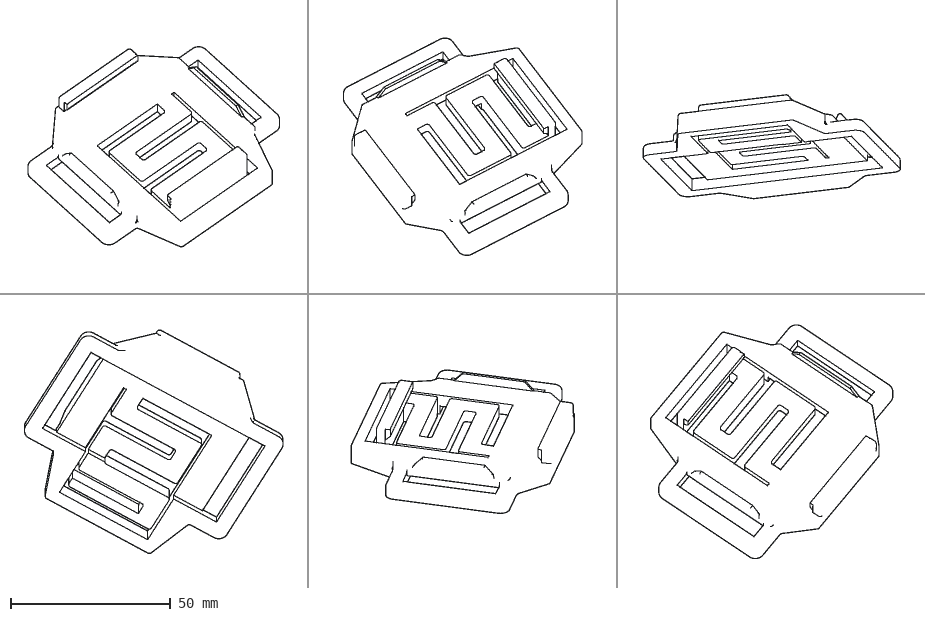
import cadquery as cq
import math

body_length = 63.64
body_top = 7.0
wall_half_width = 26.5
left_half_width = 15.9
right_slope_angle = 20.0
round_radius = 1.0
small_round = 0.5

loop_center_x = 28.6
loop_length = 40.0
loop_half_span = 36.57
loop_height = 4.0
loop_border = 5.0
loop_corner_radius = 3.0
channel_height = 3.0

tab_thickness = 1.0
tab_top = 10.0
tab_base_half_length = 13.6
tab_top_half_length = 10.0
tab_round = 0.3

opening_start = 20.0
opening_end = 59.7
opening_half_width = 16.0
spring_half_width = 15.0
spring_strip = 6.0
spring_gap = 4.0
spring_corner_radius = 0.8

clip_top = 11.8
clip_thickness = 3.0
clip_half_width = 15.0
clip_round = 1.0
hook_half_width = 14.7
hook_lower_edge = 7.5
left_hook_reach = 1.2
right_hook_reach = 1.6
right_clip_outer = 56.5

loop_left = loop_center_x - loop_length / 2
loop_right = loop_center_x + loop_length / 2
bevel_run = wall_half_width - left_half_width
wall_right = 2 * loop_center_x - bevel_run
loop_joint_y = left_half_width + loop_left
right_slope = math.tan(math.radians(right_slope_angle))
right_half_width = loop_joint_y - (body_length - loop_right) * right_slope


def box(x_min, x_max, y_min, y_max, z_min, z_max):
    size = (x_max - x_min, y_max - y_min, z_max - z_min)
    return cq.Workplane("XY").box(*size, centered=False).translate((x_min, y_min, z_min))


def edges_near(solid, points):
    """Edges of the solid that pass through the given points."""
    found = []
    for point in points:
        vertex = cq.Vertex.makeVertex(*point)
        found.append(min(solid.edges().vals(), key=lambda edge: edge.distance(vertex)))
    return solid.newObject(found)


def on_both_sides(points, z):
    """Points at height z on the +Y side, with their mirror images on the -Y side."""
    return [(x, side * y, z) for x, y in points for side in (1, -1)]


def symmetric_prism(upper_side, height):
    """Prism on Z = 0 whose outline is the given +Y side and its mirror image."""
    lower_side = [(x, -y) for x, y in reversed(upper_side)]
    return cq.Workplane("XY").polyline(upper_side + lower_side).close().extrude(height)


def make_body():
    """Plate with small rounds on the left faces and larger ones on the walls and right faces."""
    left_corner = (0, left_half_width)
    bevel_corner = (bevel_run, wall_half_width)
    right_corners = [
        (wall_right, wall_half_width),
        (loop_right, loop_joint_y),
        (body_length, right_half_width),
    ]
    mid_height = body_top / 2

    past_end = (body_length, left_half_width + body_length)
    left_part = symmetric_prism([left_corner, past_end], body_top)
    left_part = edges_near(left_part, on_both_sides([left_corner], mid_height)).fillet(round_radius)
    left_part = edges_near(left_part, [(0, 0, 0), (0, 0, body_top)]).fillet(small_round)

    before_start = (-bevel_run, wall_half_width)
    right_part = symmetric_prism([before_start] + right_corners, body_top)
    right_part = edges_near(right_part, on_both_sides(right_corners, mid_height)).fillet(round_radius)
    right_part = edges_near(right_part, [(body_length, 0, body_top)]).fillet(round_radius)

    outline = symmetric_prism([left_corner, bevel_corner] + right_corners, body_top)
    outline = edges_near(outline, on_both_sides([bevel_corner], mid_height)).fillet(round_radius)

    return left_part.intersect(right_part).intersect(outline)


def make_gussets(plate):
    """Blends between the right ends of the loop plate and the body's right slopes, one per side."""
    rise = loop_right * right_slope
    slope_line = [(0, loop_joint_y + rise), (body_length, right_half_width)]
    wedge = symmetric_prism(slope_line, body_top - round_radius)
    joint = on_both_sides([(loop_right, loop_joint_y)], loop_height / 2)
    blended = edges_near(plate.union(wedge), joint).fillet(round_radius)

    x_max = loop_right + 2 * round_radius
    y_max = loop_joint_y + 2 * round_radius
    keep = box(loop_right, x_max, right_half_width, y_max, 0, loop_height + round_radius)
    gusset = blended.intersect(keep)
    return [gusset, gusset.mirror("XZ")]


def add_strap_loops(body):
    """Flat plate through the body, blended into it, for the loops past the walls."""
    plate = box(loop_left, loop_right, -loop_half_span, loop_half_span, 0, loop_height)
    plate = plate.edges("|Z").fillet(loop_corner_radius)
    plate = plate.faces(">Z").edges().fillet(round_radius)
    solid = body.union(plate)
    wall_foot = on_both_sides([(loop_center_x, wall_half_width)], loop_height)
    solid = edges_near(solid, wall_foot).fillet(round_radius)
    for side_gusset in make_gussets(plate):
        solid = solid.union(side_gusset)
    return solid


def cut_strap_path(solid):
    """Strap slots outside the walls, joined by a channel across the underside."""
    slot_left = loop_left + loop_border
    slot_right = loop_right - loop_border
    slot_outer = loop_half_span - loop_border
    channel = box(slot_left, slot_right, -slot_outer, slot_outer, 0, channel_height)
    slot = box(slot_left, slot_right, wall_half_width, slot_outer, 0, body_top)
    return solid.cut(channel).cut(slot).cut(slot.mirror("XZ"))


def make_tab():
    """Trapezoid standing on the +Y wall, its outer face flush with the wall."""
    base_z = body_top - round_radius
    profile = [
        (loop_center_x - tab_base_half_length, base_z),
        (loop_center_x - tab_top_half_length, tab_top),
        (loop_center_x + tab_top_half_length, tab_top),
        (loop_center_x + tab_base_half_length, base_z),
    ]
    tab = cq.Workplane("XZ", origin=(0, wall_half_width, 0)).polyline(profile).close()
    tab = tab.extrude(tab_thickness)
    slope_mid_offset = (tab_base_half_length + tab_top_half_length) / 2
    slope_mid_z = (base_z + tab_top) / 2
    outer_edges = [
        (loop_center_x, wall_half_width, tab_top),
        (loop_center_x + slope_mid_offset, wall_half_width, slope_mid_z),
        (loop_center_x - slope_mid_offset, wall_half_width, slope_mid_z),
    ]
    return edges_near(tab, outer_edges).fillet(tab_round)


def make_spring():
    """Serpentine strip that starts at the opening's left edge and ends under the right clip."""
    edge = spring_half_width
    inner = spring_half_width - spring_strip
    pitch = spring_strip + spring_gap
    first = opening_start + spring_gap
    second = first + pitch
    third = second + pitch
    rounded = [
        (first + spring_strip, edge),
        (first + spring_strip, -inner),
        (second, -inner),
        (second, edge),
        (third + spring_strip, edge),
        (third + spring_strip, -inner),
        (third, -edge),
        (third, inner),
        (second + spring_strip, inner),
        (second + spring_strip, -edge),
        (first, -edge),
        (first, inner),
    ]
    clip_end = [(right_clip_outer, -inner), (right_clip_outer, -edge)]
    root = [(opening_start, inner), (opening_start, edge)]
    upper_edge = rounded[:6]
    lower_edge = rounded[6:]
    outline = upper_edge + clip_end + lower_edge + root
    spring = cq.Workplane("XY").polyline(outline).close().extrude(body_top)
    spring = edges_near(spring, [(x, y, body_top / 2) for x, y in rounded]).fillet(spring_corner_radius)
    end_corner = (right_clip_outer, -edge, body_top / 2)
    return edges_near(spring, [end_corner]).fillet(clip_round)


def make_clip(outer_x, inward, bottom_z, hook_reach):
    """Upright clip whose hook points along X in the inward direction (+1 or -1)."""
    inner_x = outer_x + inward * clip_thickness
    tip_x = inner_x + inward * hook_reach
    post_x = sorted((outer_x, inner_x))
    post = box(*post_x, -clip_half_width, clip_half_width, bottom_z, clip_top)
    outer_face = post.faces("<X" if inward > 0 else ">X")
    post = outer_face.edges("|Z").fillet(clip_round)
    mid_x = (outer_x + inner_x) / 2
    top_rim = [(outer_x, 0, clip_top)] + on_both_sides([(mid_x, clip_half_width)], clip_top)
    post = edges_near(post, top_rim).fillet(clip_round)

    hook_profile = [
        (inner_x, hook_lower_edge),
        (tip_x, hook_lower_edge + hook_reach),
        (tip_x, clip_top),
        (inner_x, clip_top),
    ]
    hook = cq.Workplane("XZ", origin=(0, hook_half_width, 0)).polyline(hook_profile).close()
    hook = hook.extrude(2 * hook_half_width)
    hook_x = sorted((inner_x, tip_x))
    silhouette = box(*hook_x, -clip_half_width, clip_half_width, bottom_z, clip_top)
    silhouette = silhouette.faces(">Z").edges("|X").fillet(clip_round)
    return post.union(hook.intersect(silhouette))


opening = box(opening_start, opening_end, -opening_half_width, opening_half_width, 0, body_top)
tab = make_tab()

result = add_strap_loops(make_body())
result = result.union(tab).union(tab.mirror("XZ"))
result = result.cut(opening).union(make_spring())
result = cut_strap_path(result)
result = result.union(make_clip(0, 1, body_top - small_round, left_hook_reach))
result = result.union(make_clip(right_clip_outer, -1, 0, right_hook_reach))